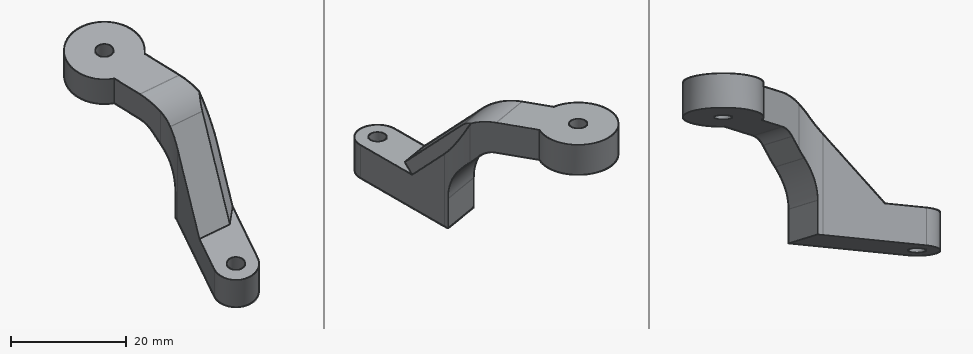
import cadquery as cq
import math

height = 23.65
hub_radius = 7.0
thickness = 6.1
foot_height = 6.75
arm_width = 8.0
hole_diameter = 3.15
tip_x = 39.985
tip_y = -11.545
arm_angle = 30.0
bend_radius = 10.0
slope_end = 33.2
wall_position = 21.0
chamfer_width = 1.9
oversize = 76.45

half_width = arm_width / 2
turn = math.radians(arm_angle)
skew = turn / 2
arm_direction = cq.Vector(math.cos(turn), -math.sin(turn), 0)
arm_side = cq.Vector(math.sin(turn), math.cos(turn), 0)
profile_direction = cq.Vector(math.cos(skew), -math.sin(skew), 0)
profile_normal = cq.Vector(-math.sin(skew), -math.cos(skew), 0)
corner_x = tip_x + tip_y / math.tan(turn)


def make_plan():
    """Bent strip with a rounded tip, seen from above, through the full height."""
    tip = cq.Vector(tip_x, tip_y, 0)
    corner_shift = half_width * math.tan(skew)
    back_tip = tip + arm_side * half_width
    front_tip = tip - arm_side * half_width
    tip_end = tip + arm_direction * half_width
    strip = (
        cq.Workplane("XY")
        .moveTo(0, half_width)
        .lineTo(corner_x + corner_shift, half_width)
        .lineTo(back_tip.x, back_tip.y)
        .threePointArc((tip_end.x, tip_end.y), (front_tip.x, front_tip.y))
        .lineTo(corner_x - corner_shift, -half_width)
        .lineTo(0, -half_width)
        .close()
        .extrude(height)
    )
    corners = cq.selectors.BoxSelector(
        (corner_x - arm_width / 2, -arm_width, 0),
        (corner_x + arm_width / 2, arm_width, height),
    )
    return strip.edges("|Z").edges(corners).fillet(bend_radius)


def make_profile():
    """Side profile: upper arm, 45 degree slope, foot and the wall under the slope."""
    arm_bottom = height - thickness
    slope_top = slope_end - (height - foot_height)
    under_slope_sum = slope_end + foot_height - thickness * math.sqrt(2)
    under_slope_start = under_slope_sum - arm_bottom
    wall_top = under_slope_sum - wall_position
    profile = (
        cq.Workplane(cq.Plane((0, 0, 0), profile_direction, profile_normal))
        .polyline([
            (-oversize, height),
            (slope_top, height),
            (slope_end, foot_height),
            (oversize, foot_height),
            (oversize, 0),
            (wall_position, 0),
            (wall_position, wall_top),
            (under_slope_start, arm_bottom),
            (-oversize, arm_bottom),
        ])
        .close()
        .extrude(oversize, both=True)
    )

    def round_corner(body, distance, level, radius):
        point = profile_direction * distance + cq.Vector(0, 0, level)
        edge = cq.selectors.NearestToPointSelector(point.toTuple())
        return body.edges(edge).fillet(radius)

    profile = round_corner(profile, slope_top, height, bend_radius)
    profile = round_corner(profile, wall_position, wall_top, bend_radius)
    return round_corner(profile, under_slope_start, arm_bottom, bend_radius - thickness)


def make_chamfer_cutter():
    """Half space above the foot that bevels the back edge of the slope."""
    side_offset = half_width - chamfer_width
    along_arm = (slope_end - side_offset * math.sin(skew)) / math.cos(skew) - corner_x
    edge_point = (
        cq.Vector(corner_x, 0, foot_height)
        + arm_direction * along_arm
        + arm_side * side_offset
    )
    slope_normal = (profile_direction + cq.Vector(0, 0, 1)).normalized()
    across_slope = (arm_side - slope_normal * arm_side.dot(slope_normal)).normalized()
    bevel_normal = slope_normal + across_slope
    half_space = (
        cq.Workplane(cq.Plane(edge_point, arm_direction.cross(bevel_normal), bevel_normal))
        .rect(2 * oversize, 2 * oversize)
        .extrude(oversize)
    )
    above_foot = (
        cq.Workplane("XY", origin=(0, 0, foot_height))
        .rect(2 * oversize, 2 * oversize)
        .extrude(oversize)
    )
    return half_space.intersect(above_foot)


arm = make_plan().intersect(make_profile()).cut(make_chamfer_cutter())
hub = (
    cq.Workplane("XY", origin=(0, 0, height - thickness))
    .circle(hub_radius)
    .extrude(thickness)
)
holes = (
    cq.Workplane("XY")
    .pushPoints([(0, 0), (tip_x, tip_y)])
    .circle(hole_diameter / 2)
    .extrude(height)
)
result = arm.union(hub).cut(holes)